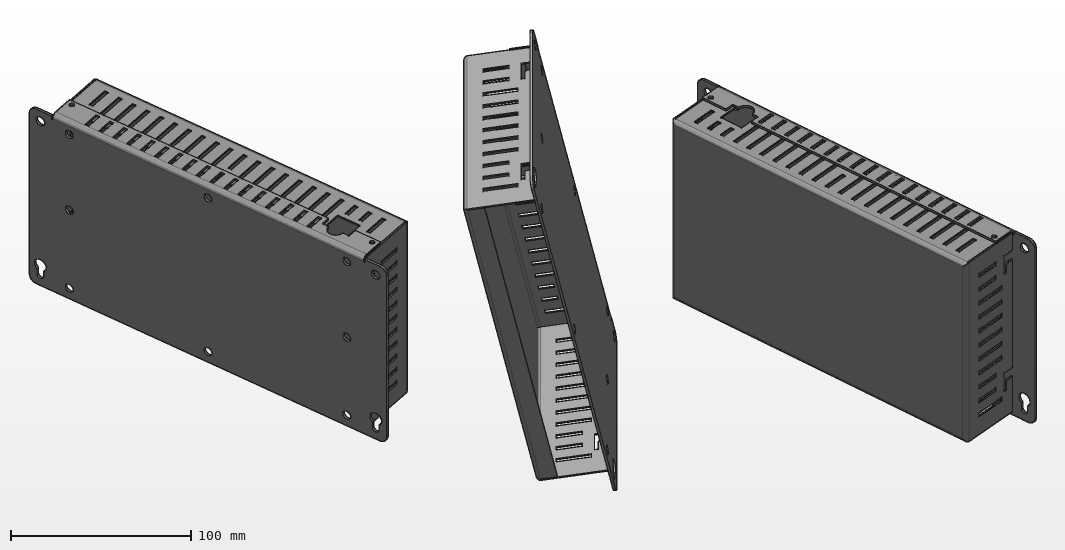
import cadquery as cq
import math


base_sheet = 1.5
cover_sheet = 1.0
plate_width = 245.0
total_height = 126.5
total_depth = 42.5
plate_corner_radius = 5.0

flange_width = 213.2
flange_reach = 16.2
flange_bend_radius = 3.0
relief_width = 0.7
relief_depth = 3.7

cover_width = 214.1
cover_bottom = 3.0
cover_bend_radius = 2.5
side_wall_edge = 2.2
top_wall_edge = 9.5
bottom_lip_edge = 30.5
cover_corner_radius = 1.5
corner_seam = 0.12

slot_width = 2.5
column_count = 21
column_span = 190.0
long_slot = 19.8
short_slot = 14.7
tiny_slot = 8.8
top_slot_start = 35.3
side_slot_start = 31.0
side_slot_lengths = [long_slot, short_slot, short_slot] + [long_slot] * 6 + [short_slot] * 2
flange_slot_start = 14.0
flange_slot_end = 3.7
flange_slot_columns = range(-9, 8)
short_columns = (-10, 0, 10)
tiny_columns = (8, 9)

connector_x = 80.0
connector_width = 15.5
connector_start = 22.8
flange_notch_width = 18.4
flange_notch_edge = 10.3
finger_radius = 5.0

screw_diameter = 3.0
screw_x = 103.0
screw_y = 13.2

mount_x = 115.0
mount_z = 117.5
mount_diameter = 6.0
keyhole_z = 14.5
keyhole_diameter = 8.0
keyhole_slot_width = 4.5
keyhole_slot_end = 5.1
board_hole_diameter = 5.5
board_hole_x = 95.0
board_hole_rows = {7.5: (-1, 0, 1), 63.5: (-1, 1), mount_z: (-1, 0, 1)}

hook_back = 9.5
hook_leg_width = 2.2
hook_height = 12.5
hook_mouth_height = 6.1
upper_hook_top = 113.0
lower_hook_top = 33.0
upper_hook_radius = 1.7
lower_hook_radius = 0.7

plate_height = total_height - base_sheet
cover_top = plate_height
cover_mid_z = (cover_top + cover_bottom) / 2
pitch = column_span / (column_count - 1)
last_column = column_count // 2
seam_x = cover_width / 2 - cover_sheet - corner_seam / 2
flange_zone = (plate_height, total_height)
top_wall_zone = (cover_top - cover_sheet, cover_top)


def block(x_range, y_range, z_range):
    """Box given by its limits along each axis."""
    size = [high - low for low, high in (x_range, y_range, z_range)]
    return cq.Workplane("XY").box(*size, centered=False).translate((x_range[0], y_range[0], z_range[0]))


def centred_block(x, width, y_range, z_range):
    return block((x - width / 2, x + width / 2), y_range, z_range)


def upright_cylinder(x, y, diameter, z_range):
    low, high = z_range
    return cq.Workplane("XY", origin=(x, y, low)).circle(diameter / 2).extrude(high - low)


def plate_hole(x, z, diameter):
    return cq.Workplane("XZ", origin=(x, 0, z)).circle(diameter / 2).extrude(-base_sheet)


def base_blank():
    plate = centred_block(0, plate_width, (0, base_sheet), (0, plate_height))
    plate = plate.edges("|Y").fillet(plate_corner_radius)
    for side in (-1, 1):
        relief_x = side * (flange_width + relief_width) / 2
        relief = centred_block(
            relief_x, relief_width, (0, base_sheet), (total_height - relief_depth, total_height)
        )
        plate = plate.cut(relief)
    bend_z = total_height - flange_bend_radius
    plate = plate.cut(centred_block(0, flange_width, (0, base_sheet), (bend_z, total_height)))

    inner_radius = flange_bend_radius - base_sheet
    diagonal = math.sqrt(0.5)
    outer_mid = flange_bend_radius * (1 - diagonal)
    inner_mid = flange_bend_radius - inner_radius * diagonal
    flange = (
        cq.Workplane("YZ", origin=(-flange_width / 2, 0, 0))
        .moveTo(0, bend_z)
        .threePointArc((outer_mid, total_height - outer_mid), (flange_bend_radius, total_height))
        .lineTo(flange_reach, total_height)
        .lineTo(flange_reach, plate_height)
        .lineTo(flange_bend_radius, plate_height)
        .threePointArc((inner_mid, total_height - inner_mid), (base_sheet, bend_z))
        .close()
        .extrude(flange_width)
    )
    return plate.union(flange)


def keyhole(x):
    slot_radius = keyhole_slot_width / 2
    slot_bottom_z = keyhole_slot_end + slot_radius
    slot = centred_block(x, keyhole_slot_width, (0, base_sheet), (slot_bottom_z, keyhole_z))
    slot_end = plate_hole(x, slot_bottom_z, keyhole_slot_width)
    return plate_hole(x, keyhole_z, keyhole_diameter).union(slot).union(slot_end)


def make_base():
    base = base_blank()
    for side in (-1, 1):
        base = base.cut(plate_hole(side * mount_x, mount_z, mount_diameter))
        base = base.cut(keyhole(side * mount_x))
        base = base.cut(upright_cylinder(side * screw_x, screw_y, screw_diameter, flange_zone))
    for z, sides in board_hole_rows.items():
        for side in sides:
            base = base.cut(plate_hole(side * board_hole_x, z, board_hole_diameter))
    for column in flange_slot_columns:
        slot_range = (flange_slot_end, flange_slot_start)
        base = base.cut(centred_block(column * pitch, slot_width, slot_range, flange_zone))
    notch_range = (flange_notch_edge, flange_reach)
    base = base.cut(centred_block(connector_x, flange_notch_width, notch_range, flange_zone))
    finger_hole = upright_cylinder(connector_x, flange_notch_edge, 2 * finger_radius, flange_zone)
    return base.cut(finger_hole)


def cover_blank():
    outer = centred_block(0, cover_width, (side_wall_edge, total_depth), (cover_bottom, cover_top))
    outer = outer.faces(">Y").edges().fillet(cover_bend_radius)
    inner = centred_block(
        0,
        cover_width - 2 * cover_sheet,
        (side_wall_edge, total_depth - cover_sheet),
        (cover_bottom + cover_sheet, cover_top - cover_sheet),
    )
    inner = inner.faces(">Y").edges().fillet(cover_bend_radius - cover_sheet)
    cover = outer.cut(inner)

    inner_width = cover_width - 2 * cover_sheet
    cover = cover.cut(centred_block(0, inner_width, (side_wall_edge, top_wall_edge), top_wall_zone))
    bottom_wall_zone = (cover_bottom, cover_bottom + cover_sheet)
    cover = cover.cut(centred_block(0, inner_width, (side_wall_edge, bottom_lip_edge), bottom_wall_zone))

    corner_box = cq.selectors.BoxSelector(
        (-cover_width, 0, cover_top - cover_sheet / 2),
        (cover_width, side_wall_edge + cover_sheet / 2, total_height),
    )
    cover = cover.edges("|X").edges(corner_box).fillet(cover_corner_radius)

    seam_end = total_depth - cover_bend_radius
    for side in (-1, 1):
        for edge, zone in ((top_wall_edge, top_wall_zone), (bottom_lip_edge, bottom_wall_zone)):
            cover = cover.cut(centred_block(side * seam_x, corner_seam, (edge, seam_end), zone))
    return cover


def top_slot_length(column):
    if column in short_columns:
        return short_slot
    if column in tiny_columns:
        return tiny_slot
    return long_slot


def hook_slot(top_z, radius):
    """L-shaped slot through both side walls, open at their free edges."""
    leg_front = hook_back - hook_leg_width
    mouth_bottom = top_z - hook_mouth_height
    bottom_z = top_z - hook_height
    diagonal = radius * math.sqrt(0.5)
    inside_corner = (leg_front - radius + diagonal, mouth_bottom - radius + diagonal)
    edge_corner = (side_wall_edge + radius - diagonal, top_z + radius - diagonal)
    return (
        cq.Workplane("YZ", origin=(-cover_width / 2, 0, 0))
        .moveTo(side_wall_edge, mouth_bottom)
        .lineTo(leg_front - radius, mouth_bottom)
        .threePointArc(inside_corner, (leg_front, mouth_bottom - radius))
        .lineTo(leg_front, bottom_z)
        .lineTo(hook_back, bottom_z)
        .lineTo(hook_back, top_z)
        .lineTo(side_wall_edge + radius, top_z)
        .threePointArc(edge_corner, (side_wall_edge, top_z + radius))
        .close()
        .extrude(cover_width)
    )


def make_cover():
    cover = cover_blank()

    for column in range(-last_column, last_column + 1):
        slot_range = (top_slot_start - top_slot_length(column), top_slot_start)
        cover = cover.cut(centred_block(column * pitch, slot_width, slot_range, top_wall_zone))
    cover = cover.cut(centred_block(0, slot_width, (top_wall_edge, flange_slot_start), top_wall_zone))

    middle_row = (len(side_slot_lengths) - 1) / 2
    for row, length in enumerate(side_slot_lengths):
        z = cover_mid_z + (row - middle_row) * pitch
        slot_range = (side_slot_start - length, side_slot_start)
        slot_zone = (z - slot_width / 2, z + slot_width / 2)
        cover = cover.cut(centred_block(0, cover_width, slot_range, slot_zone))

    cover = cover.cut(hook_slot(upper_hook_top, upper_hook_radius))
    cover = cover.cut(hook_slot(lower_hook_top, lower_hook_radius))

    opening_range = (top_wall_edge, connector_start)
    cover = cover.cut(centred_block(connector_x, connector_width, opening_range, top_wall_zone))
    for side in (-1, 1):
        cover = cover.cut(upright_cylinder(side * screw_x, screw_y, screw_diameter, top_wall_zone))
    return cover


base = make_base()
cover = make_cover()
result = cq.Compound.makeCompound([base.solids().val(), cover.solids().val()])